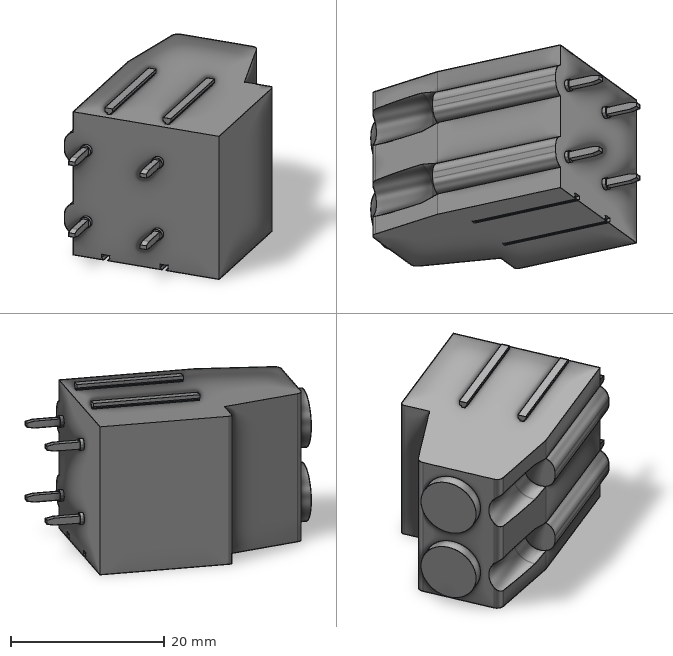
import cadquery as cq

POLE_PITCH = 10.15
POLE_COUNT = 2
POLE_HEIGHTS = [POLE_PITCH * (pole + 0.5) for pole in range(POLE_COUNT)]

BODY_WIDTH = 20.75
BODY_DEPTH = 29.28
BODY_HEIGHT = POLE_PITCH * POLE_COUNT
LEFT_KNEE_Y = 18.3
SHELF_Y = 17.95
SHELF_START_X = 16.62
CROWN_LEFT_X = 1.93
CROWN_RIGHT_X = 13.6
CROWN_FILLET = 1.0
SHELF_FILLET = 0.5

BULGE_REACH = 1.25
BULGE_RADIUS = 1.85
BULGE_FLAT = 0.85
BULGE_ROOT = 0.35

CHANNEL_RADIUS = 2.75
CHANNEL_END_RADIUS = 2.32
CHANNEL_X = 0.75
CHANNEL_TAPER_LENGTH = 2.57

SCREW_DIAMETER = 7.8
SCREW_X = 8.58
SCREW_RISE = 1.5
SCREW_EMBED = 0.35

DOVETAIL_X = [4.6, 12.9]
DOVETAIL_WIDTH = 1.1
DOVETAIL_NECK = 0.55
DOVETAIL_STRAIGHT = 0.45
DOVETAIL_TAPER = 0.25
RIB_HEIGHT = 0.85
RIB_START_Y = 1.05
RIB_LENGTH = 14.4
SLOT_DEPTH = 0.75
SLOT_LENGTH = RIB_START_Y + RIB_LENGTH

PIN_X = [1.93, 12.1]
PIN_LENGTH = 4.97
PIN_WIDTH = 0.9
PIN_THICKNESS = 0.95
PIN_TIP_THICKNESS = 0.55
PIN_TIP_LENGTH = 1.0
COLLAR_DIAMETER = 1.55
COLLAR_LENGTH = 0.5


def cylinder_along_y(x, z, start_y, length, radius):
    direction = cq.Vector(0, 1, 0)
    return cq.Workplane(cq.Solid.makeCylinder(radius, length, cq.Vector(x, start_y, z), direction))


def extrude_along_y(outline, start_y, length):
    """Extrude an outline drawn on the XZ plane from start_y towards +Y."""
    return outline.extrude(-length).translate((0, start_y, 0))


def make_housing():
    profile = [
        (0, 0),
        (BODY_WIDTH, 0),
        (BODY_WIDTH, SHELF_Y),
        (SHELF_START_X, SHELF_Y),
        (CROWN_RIGHT_X, BODY_DEPTH),
        (CROWN_LEFT_X, BODY_DEPTH),
        (0, LEFT_KNEE_Y),
    ]
    housing = cq.Workplane("XY").polyline(profile).close().extrude(BODY_HEIGHT)
    housing = housing.faces(">Y").edges("|Z").fillet(CROWN_FILLET)
    shelf_corner = cq.selectors.NearestToPointSelector((BODY_WIDTH, SHELF_Y, BODY_HEIGHT / 2))
    return housing.edges(shelf_corner).fillet(SHELF_FILLET)


def make_bulge(z):
    centre_x = BULGE_RADIUS - BULGE_REACH
    half_flat = BULGE_FLAT / 2
    half_height = half_flat + (BULGE_RADIUS**2 - centre_x**2) ** 0.5
    outline = (
        cq.Workplane("XZ")
        .moveTo(BULGE_ROOT, z - half_height)
        .lineTo(0, z - half_height)
        .radiusArc((-BULGE_REACH, z - half_flat), BULGE_RADIUS)
        .lineTo(-BULGE_REACH, z + half_flat)
        .radiusArc((0, z + half_height), BULGE_RADIUS)
        .lineTo(BULGE_ROOT, z + half_height)
        .close()
    )
    return extrude_along_y(outline, 0, LEFT_KNEE_Y)


def make_channel(z):
    taper_top = LEFT_KNEE_Y + CHANNEL_TAPER_LENGTH
    straight = cylinder_along_y(CHANNEL_X, z, taper_top, BODY_DEPTH - taper_top, CHANNEL_RADIUS)
    taper = cq.Solid.makeCone(
        CHANNEL_END_RADIUS,
        CHANNEL_RADIUS,
        CHANNEL_TAPER_LENGTH,
        cq.Vector(CHANNEL_X, LEFT_KNEE_Y, z),
        cq.Vector(0, 1, 0),
    )
    return straight.union(cq.Workplane(taper))


def make_screw(z):
    return cylinder_along_y(SCREW_X, z, BODY_DEPTH - SCREW_EMBED, SCREW_EMBED + SCREW_RISE, SCREW_DIAMETER / 2)


def make_dovetail(x, base_z, height, start_y, length):
    """Bar with a narrow neck at base_z that flares to its full width below the top."""
    half_neck = DOVETAIL_NECK / 2
    half_width = DOVETAIL_WIDTH / 2
    flare_top = base_z + height - DOVETAIL_STRAIGHT
    flare_bottom = flare_top - DOVETAIL_TAPER
    outline = cq.Workplane("XZ").polyline([
        (x - half_neck, base_z),
        (x + half_neck, base_z),
        (x + half_neck, flare_bottom),
        (x + half_width, flare_top),
        (x + half_width, base_z + height),
        (x - half_width, base_z + height),
        (x - half_width, flare_top),
        (x - half_neck, flare_bottom),
    ]).close()
    return extrude_along_y(outline, start_y, length)


def make_pin(x, z):
    """Flat pin pointing to -Y, its tip tapered in thickness, with a round collar at the root."""
    taper_y = PIN_TIP_LENGTH - PIN_LENGTH
    blade = (
        cq.Workplane("YZ")
        .polyline([
            (0, -PIN_THICKNESS / 2),
            (taper_y, -PIN_THICKNESS / 2),
            (-PIN_LENGTH, -PIN_TIP_THICKNESS / 2),
            (-PIN_LENGTH, PIN_TIP_THICKNESS / 2),
            (taper_y, PIN_THICKNESS / 2),
            (0, PIN_THICKNESS / 2),
        ])
        .close()
        .extrude(PIN_WIDTH / 2, both=True)
        .translate((x, 0, z))
    )
    collar = cylinder_along_y(x, z, -COLLAR_LENGTH, COLLAR_LENGTH, COLLAR_DIAMETER / 2)
    return blade.union(collar)


result = make_housing()

for pole_z in POLE_HEIGHTS:
    result = result.cut(make_channel(pole_z))
    result = result.union(make_bulge(pole_z))
    result = result.union(make_screw(pole_z))
    for pin_x in PIN_X:
        result = result.union(make_pin(pin_x, pole_z))

for dovetail_x in DOVETAIL_X:
    result = result.cut(make_dovetail(dovetail_x, 0, SLOT_DEPTH, 0, SLOT_LENGTH))
    result = result.union(make_dovetail(dovetail_x, BODY_HEIGHT, RIB_HEIGHT, RIB_START_Y, RIB_LENGTH))